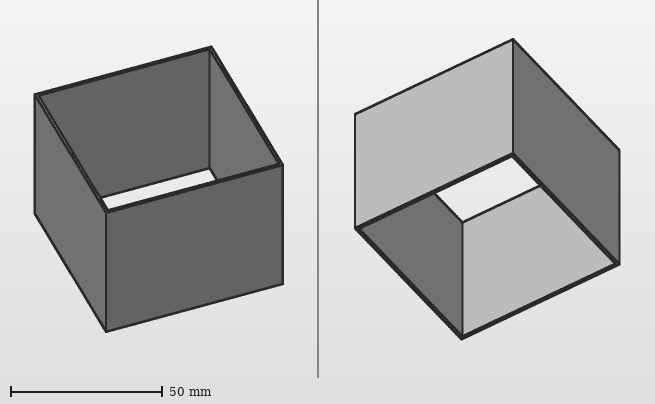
import cadquery as cq

side = 63.0
height = 53.0
wall = 1.0
opening = side - 2 * wall

result = cq.Workplane("XY").rect(side, side).rect(opening, opening).extrude(height)